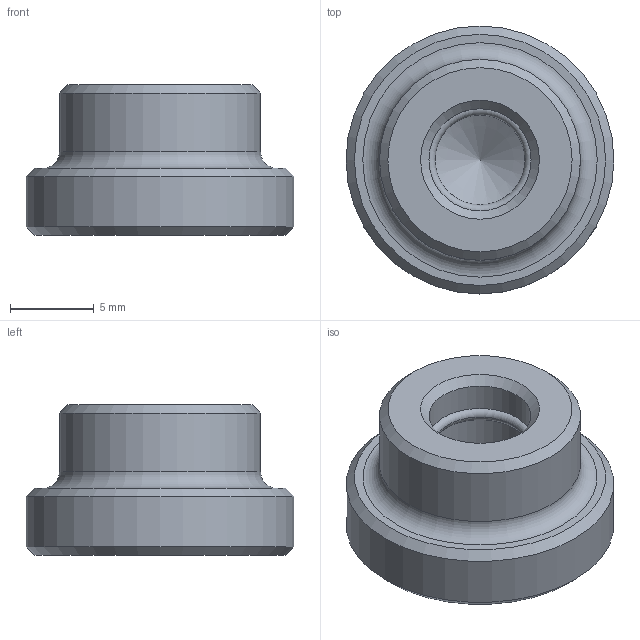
import cadquery as cq
import math

flange_radius = 8.0
flange_height = 4.0
neck_radius = 6.0
total_height = 9.0
edge_chamfer = 0.5
neck_fillet = 1.0

bore_radius = 3.05
bore_floor_height = 2.5
drill_point_angle = 118.0
drill_point_depth = bore_radius / math.tan(math.radians(drill_point_angle / 2))

ridge_radius = 0.37
ridge_center_height = 6.5


def make_body():
    """Flange and neck with chamfered rims and a fillet where they meet."""
    return (
        cq.Workplane("XZ")
        .moveTo(0, 0)
        .lineTo(flange_radius - edge_chamfer, 0)
        .lineTo(flange_radius, edge_chamfer)
        .lineTo(flange_radius, flange_height - edge_chamfer)
        .lineTo(flange_radius - edge_chamfer, flange_height)
        .lineTo(neck_radius + neck_fillet, flange_height)
        .radiusArc((neck_radius, flange_height + neck_fillet), neck_fillet)
        .lineTo(neck_radius, total_height - edge_chamfer)
        .lineTo(neck_radius - edge_chamfer, total_height)
        .lineTo(0, total_height)
        .close()
        .revolve(360, (0, 0), (0, 1))
    )


def make_bore():
    """Space removed by the bore, narrowed where the ridge stands out of the wall."""
    return (
        cq.Workplane("XZ")
        .moveTo(0, bore_floor_height - drill_point_depth)
        .lineTo(bore_radius, bore_floor_height)
        .lineTo(bore_radius, ridge_center_height - ridge_radius)
        .radiusArc((bore_radius - ridge_radius, ridge_center_height), ridge_radius)
        .radiusArc((bore_radius, ridge_center_height + ridge_radius), ridge_radius)
        .lineTo(bore_radius, total_height - edge_chamfer)
        .lineTo(bore_radius + edge_chamfer, total_height)
        .lineTo(0, total_height)
        .close()
        .revolve(360, (0, 0), (0, 1), clean=False)
    )


result = make_body().cut(make_bore(), clean=False)